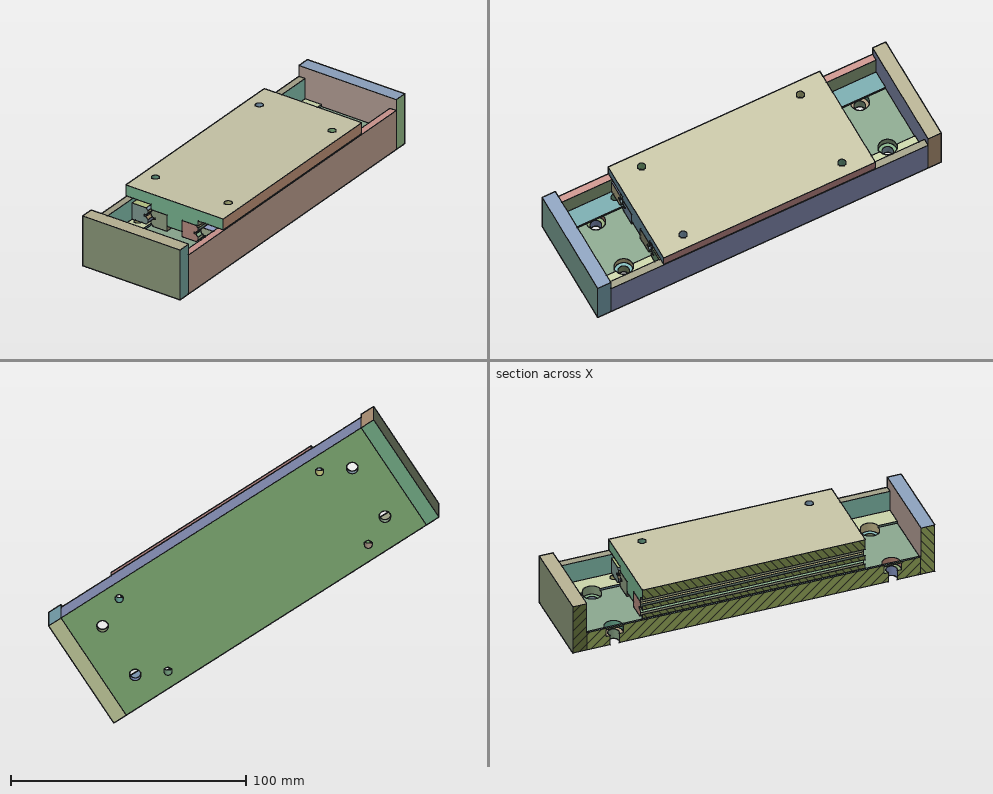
import cadquery as cq

total_length = 165.1
width = 50.9
total_height = 25.0

base_length = 152.4
wall_height = 19.2
wall_thickness = 3.3
floor_top = 8.3
ledge_top = 9.2
ledge_inner_x = 13.5

end_height = 24.5
end_thickness = (total_length - base_length) / 2

carriage_length = 101.7
plate_bottom = 19.6
keel_bottom = 11.7
keel_half_width = 4.0

rail_height = 8.0
rail_top = ledge_top + rail_height
rail_gap = 1.5
groove_depth = 1.2
slit_depth = 2.1
slit_half_height = 0.3
groove_half_height = groove_depth + slit_half_height
rail_chamfer = 1.0
channel_half_width = width / 2 - wall_thickness
rail_width = (channel_half_width - keel_half_width - rail_gap) / 2
pad_half_width = keel_half_width + rail_width

mount_hole_x = 12.7
mount_hole_y = 63.4
mount_hole_diameter = 5.0
counterbore_diameter = 8.3
counterbore_floor = 5.0
screw_hole_diameter = 3.5
screw_hole_x = 19.0
plate_hole_y = 38.1
ledge_hole_y = carriage_length / 2


def box(x_min, x_max, length, z_min, z_max):
    """Block centred on Y = 0 between the given X and Z limits."""
    block = cq.Workplane("XY").box(x_max - x_min, length, z_max - z_min, centered=(False, True, False))
    return block.translate((x_min, 0, z_min))


def four_pegs(x, y, diameter, z_min, z_max):
    """Cylinders at (+-x, +-y), used as cutters for a hole pattern."""
    pattern = cq.Workplane("XY").workplane(offset=z_min).rect(2 * x, 2 * y, forConstruction=True)
    return pattern.vertices().circle(diameter / 2).extrude(z_max - z_min)


def make_base():
    """Open channel with a ledge along each wall; the right ledge overhangs the mounting holes."""
    base = box(-width / 2, width / 2, base_length, 0, wall_height)
    base = base.cut(box(-channel_half_width, channel_half_width, base_length, floor_top, wall_height))
    base = base.union(box(-channel_half_width, -ledge_inner_x, base_length, floor_top, ledge_top))
    base = base.cut(four_pegs(mount_hole_x, mount_hole_y, mount_hole_diameter, 0, ledge_top))
    base = base.cut(four_pegs(mount_hole_x, mount_hole_y, counterbore_diameter, counterbore_floor, ledge_top))
    base = base.union(box(ledge_inner_x, channel_half_width, base_length, floor_top, ledge_top))
    return base.cut(four_pegs(screw_hole_x, ledge_hole_y, screw_hole_diameter, 0, ledge_top))


def make_end_plate(side):
    """Plain plate closing the channel at the -Y (side = -1) or +Y (side = 1) end."""
    plate = cq.Workplane("XY").box(width, end_thickness, end_height, centered=(True, True, False))
    return plate.translate((0, side * (base_length + end_thickness) / 2, 0))


def make_carriage():
    """Top plate with a pad over the inner rails and a keel between them."""
    carriage = box(-width / 2, width / 2, carriage_length, plate_bottom, total_height)
    carriage = carriage.union(box(-pad_half_width, pad_half_width, carriage_length, rail_top, plate_bottom))
    carriage = carriage.union(box(-keel_half_width, keel_half_width, carriage_length, keel_bottom, rail_top))
    return carriage.cut(four_pegs(screw_hole_x, plate_hole_y, screw_hole_diameter, plate_bottom, total_height))


def make_rail(back_x, facing):
    """Rail with its flat back at back_x and a slit-bottomed V groove facing -X (-1) or +X (1)."""
    face_x = back_x + facing * rail_width
    valley_x = face_x - facing * groove_depth
    slit_x = face_x - facing * slit_depth
    groove_z = ledge_top + rail_height / 2
    outline = [
        (back_x, ledge_top),
        (face_x - facing * rail_chamfer, ledge_top),
        (face_x, ledge_top + rail_chamfer),
        (face_x, groove_z - groove_half_height),
        (valley_x, groove_z - slit_half_height),
        (slit_x, groove_z - slit_half_height),
        (slit_x, groove_z + slit_half_height),
        (valley_x, groove_z + slit_half_height),
        (face_x, groove_z + groove_half_height),
        (face_x, rail_top - rail_chamfer),
        (face_x - facing * rail_chamfer, rail_top),
        (back_x, rail_top),
    ]
    return cq.Workplane("XZ").polyline(outline).close().extrude(carriage_length / 2, both=True)


base = make_base()
carriage = make_carriage()
end_plates = [make_end_plate(side) for side in (-1, 1)]
inner_rails = [make_rail(side * keel_half_width, side) for side in (-1, 1)]
outer_rails = [make_rail(side * channel_half_width, -side) for side in (-1, 1)]

bodies = [base, carriage, *end_plates, *inner_rails, *outer_rails]
result = cq.Compound.makeCompound([body.val() for body in bodies])